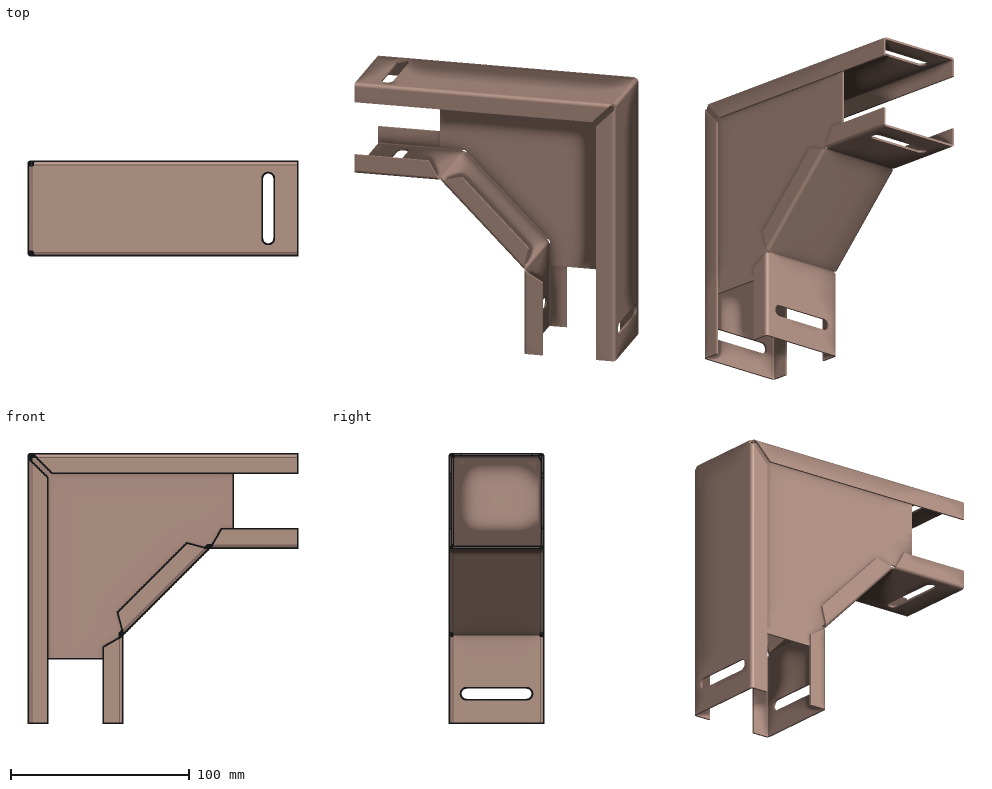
import cadquery as cq
import math

elbow_size = 151.0
depth = 53.0
duct_width = 53.0

sheet = 1.2
bend_radius = 2.0
flange_width = 11.0
miter_gap = 2.4
corner_relief_depth = 0.6

leg_length = 49.5
relief_setback = 0.5
relief_angle = 30.0
bend_angle = 45.0

cover_length = 114.9
slot_length = 40.0
slot_width = 6.5
slot_from_end = 16.6

inner_radius = bend_radius - sheet
half_depth = depth / 2
half_web = half_depth - bend_radius
bend_start = elbow_size - leg_length
half_bend_tangent = math.tan(math.radians(bend_angle / 2))
relief_slope = math.tan(math.radians(relief_angle))
miter_slope = 1.0
cos45 = math.sqrt(0.5)

RIGHT = (1, 0)
LEFT = (-1, 0)
UP = (0, 1)
DOWN = (0, -1)
DIAGONAL = (cos45, cos45)
DIAGONAL_INWARD = (-cos45, cos45)

SQUARE_END = (0, 0)
MITER_END = (miter_gap, miter_slope)
RELIEF_END = (relief_setback, relief_slope)


def prism(outline, front, back):
    """An outline of (x, z) points extruded from Y = front to Y = back."""
    return cq.Workplane("XZ", origin=(0, back, 0)).polyline(outline).close().extrude(back - front)


def round_bend(web, corner, radius):
    """Rounds the edge along Y at the (x, z) corner of a wall."""
    x, z = corner
    return web.edges(cq.selectors.NearestToPointSelector((x, 0, z))).fillet(radius)


def flange_pair(corner, along, inward, length, start_cut, end_cut=SQUARE_END):
    """Front and back flanges of one straight wall, each with its quarter-round fold.

    The wall runs from `corner` in the direction `along`; its flanges point `inward`. Each end
    cut is the flange's setback from the end of the wall and its further slope per unit of width.
    """
    start_setback, start_slope = start_cut
    end_setback, end_slope = end_cut
    section = (
        cq.Workplane("YZ")
        .moveTo(half_web, 0)
        .threePointArc(
            (half_web + bend_radius * cos45, bend_radius * (1 - cos45)), (half_depth, bend_radius)
        )
        .lineTo(half_depth, flange_width)
        .lineTo(half_depth - sheet, flange_width)
        .lineTo(half_depth - sheet, bend_radius)
        .threePointArc(
            (half_web + inner_radius * cos45, bend_radius - inner_radius * cos45), (half_web, sheet)
        )
        .close()
        .extrude(length)
    )
    trim = prism(
        [
            (start_setback, 0),
            (length - end_setback, 0),
            (length - end_setback - end_slope * flange_width, flange_width),
            (start_setback + start_slope * flange_width, flange_width),
        ],
        -half_depth,
        half_depth,
    )
    flange = section.intersect(trim)
    both = flange.union(flange.mirror("XZ"))
    wall_plane = cq.Plane(
        origin=(corner[0], 0, corner[1]),
        xDir=(along[0], 0, along[1]),
        normal=(inward[0], 0, inward[1]),
    )
    return cq.Workplane(both.val().moved(cq.Location(wall_plane)))


def cut_slots(wall):
    """Cuts the rounded mounting slots near both open ends of a wall."""
    slot_place = elbow_size - slot_from_end
    lower_slot = (
        cq.Workplane("YZ")
        .center(0, -slot_place)
        .slot2D(slot_length, slot_width)
        .extrude(duct_width)
    )
    right_slot = (
        cq.Workplane("XY")
        .center(slot_place, 0)
        .slot2D(slot_length, slot_width, 90)
        .extrude(-duct_width)
    )
    return wall.cut(lower_slot).cut(right_slot)


def make_outer_wall():
    """Right-angled outer wall with mitred flanges."""
    web = prism(
        [
            (0, -elbow_size),
            (0, 0),
            (elbow_size, 0),
            (elbow_size, -sheet),
            (sheet, -sheet),
            (sheet, -elbow_size),
        ],
        -half_web,
        half_web,
    )
    web = round_bend(web, (0, 0), bend_radius)
    web = round_bend(web, (sheet, -sheet), inner_radius)
    relief = (
        cq.Workplane("XY")
        .rect(2 * miter_gap, depth)
        .rect(2 * miter_gap, 2 * (half_web - corner_relief_depth))
        .extrude(-miter_gap)
    )
    wall = web.cut(relief)
    for along, inward in ((DOWN, RIGHT), (RIGHT, DOWN)):
        wall = wall.union(flange_pair((0, 0), along, inward, elbow_size, MITER_END))
    return cut_slots(wall)


def make_inner_wall():
    """Inner wall: two legs and a diagonal, with flanges that stop short of the two bends."""
    lower_corner = (duct_width, -bend_start)
    upper_corner = (bend_start, -duct_width)
    back_face = duct_width - sheet
    back_bend = bend_start - sheet * half_bend_tangent
    web = prism(
        [
            (duct_width, -elbow_size),
            lower_corner,
            upper_corner,
            (elbow_size, -duct_width),
            (elbow_size, -back_face),
            (back_bend, -back_face),
            (back_face, -back_bend),
            (back_face, -elbow_size),
        ],
        -half_web,
        half_web,
    )
    for corner in (lower_corner, upper_corner):
        web = round_bend(web, corner, inner_radius)
    for corner in ((back_face, -back_bend), (back_bend, -back_face)):
        web = round_bend(web, corner, bend_radius)

    diagonal_length = math.dist(lower_corner, upper_corner)
    wall = web
    for corner, along, inward in ((lower_corner, DOWN, LEFT), (upper_corner, RIGHT, UP)):
        wall = wall.union(flange_pair(corner, along, inward, leg_length, RELIEF_END))
    wall = wall.union(
        flange_pair(
            lower_corner, DIAGONAL, DIAGONAL_INWARD, diagonal_length, RELIEF_END, RELIEF_END
        )
    )
    return cut_slots(wall)


def make_cover():
    """Flat plate lying against the inside of the front flanges, clear of all the folds."""
    front = sheet - half_depth
    near = bend_radius
    far = duct_width - bend_radius
    bend = bend_start - bend_radius * half_bend_tangent
    return prism(
        [
            (near, -near),
            (cover_length, -near),
            (cover_length, -far),
            (bend, -far),
            (far, -bend),
            (far, -cover_length),
            (near, -cover_length),
        ],
        front,
        front + sheet,
    )


outer_wall = make_outer_wall().solids()
inner_wall = make_inner_wall().solids()
cover = make_cover()

result = cq.Compound.makeCompound([outer_wall.val(), inner_wall.val(), cover.val()])